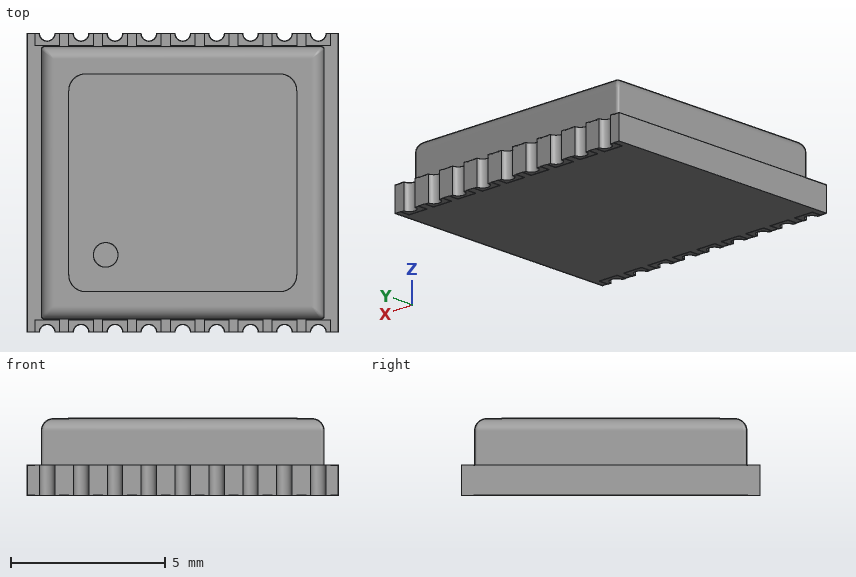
import cadquery as cq

LENGTH = 10.1
WIDTH = 9.7
BOARD_THICKNESS = 0.98
PLATING = 0.01
TOTAL_HEIGHT = 2.52

CAN_LENGTH = 9.18
CAN_WIDTH = 8.84
CAN_TOP_RADIUS = 0.4
CAN_CORNER_RADIUS = 0.1

PAD_COUNT = 9
PAD_PITCH = 1.1
PAD_LENGTH = 0.8
PAD_DEPTH = 0.4
NOTCH_RADIUS = 0.25

LABEL_LENGTH = 7.4
LABEL_WIDTH = 7.07
LABEL_CORNER_RADIUS = 0.55
LABEL_THICKNESS = 0.02
MARK_RADIUS = 0.4
MARK_X = -2.5
MARK_Y = -2.34

board_top = PLATING + BOARD_THICKNESS
can_top = TOTAL_HEIGHT - LABEL_THICKNESS


def pad_centers():
    """Points on the +Y and -Y edges where the half-hole pads sit."""
    first_x = -PAD_PITCH * (PAD_COUNT - 1) / 2
    return [
        (first_x + i * PAD_PITCH, side * WIDTH / 2)
        for i in range(PAD_COUNT)
        for side in (-1, 1)
    ]


def make_slab(bottom, height):
    """Rectangle of the board outline with the given bottom height and thickness."""
    return cq.Workplane("XY").workplane(offset=bottom).rect(LENGTH, WIDTH).extrude(height)


def make_pads(bottom):
    """One layer of thin pads, trimmed to the board outline."""
    pads = (
        cq.Workplane("XY")
        .workplane(offset=bottom)
        .pushPoints(pad_centers())
        .rect(PAD_LENGTH, 2 * PAD_DEPTH)
        .extrude(PLATING)
    )
    return pads.intersect(make_slab(bottom, PLATING))


def make_board():
    """Circuit board plated on both faces, with a half-round notch through each pad."""
    board = make_slab(PLATING, BOARD_THICKNESS)
    board = board.union(make_pads(0)).union(make_pads(board_top))
    notches = (
        cq.Workplane("XY")
        .pushPoints(pad_centers())
        .circle(NOTCH_RADIUS)
        .extrude(board_top + PLATING)
    )
    return board.cut(notches)


def make_can():
    """Shield can: rounded top edges mitred at the corners, then softened corners."""
    can = (
        cq.Workplane("XY")
        .workplane(offset=board_top)
        .rect(CAN_LENGTH, CAN_WIDTH)
        .extrude(can_top - board_top)
    )
    can = can.faces(">Z").edges().fillet(CAN_TOP_RADIUS)
    return can.edges("|Z").fillet(CAN_CORNER_RADIUS)


def make_label():
    """Thin rounded label with a round orientation mark left open."""
    label = (
        cq.Workplane("XY")
        .workplane(offset=can_top)
        .rect(LABEL_LENGTH, LABEL_WIDTH)
        .extrude(LABEL_THICKNESS)
        .edges("|Z")
        .fillet(LABEL_CORNER_RADIUS)
    )
    mark = (
        cq.Workplane("XY")
        .workplane(offset=can_top)
        .center(MARK_X, MARK_Y)
        .circle(MARK_RADIUS)
        .extrude(LABEL_THICKNESS)
    )
    return label.cut(mark)


result = make_board().union(make_can()).union(make_label())